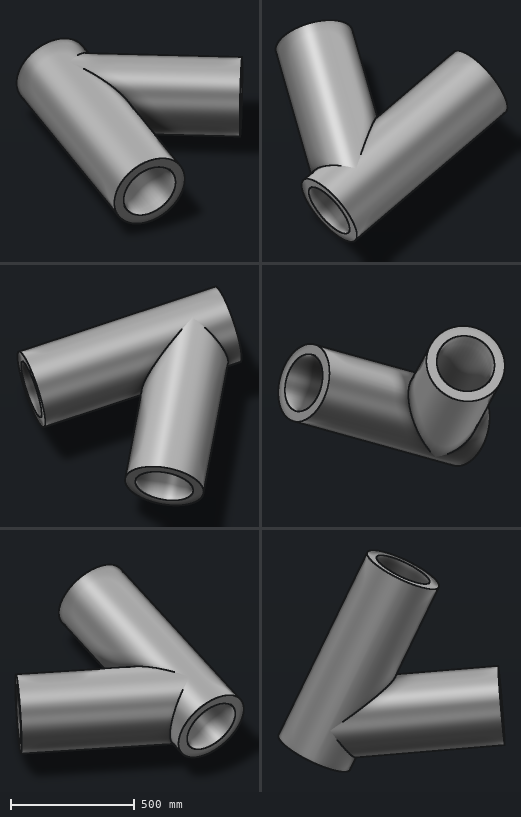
import cadquery as cq
import math

outer_diameter = 324.0
bore_diameter = 238.0
run_length = 851.0
run_start_to_crossing = 152.0
branch_length = 698.0
branch_angle = 60.0

run_start = cq.Vector(-run_start_to_crossing, 0, 0)
run_direction = cq.Vector(1, 0, 0)
crossing = cq.Vector(0, 0, 0)
branch_direction = cq.Vector(
    math.cos(math.radians(branch_angle)),
    math.sin(math.radians(branch_angle)),
    0,
)


def run_and_branch(diameter):
    """Join the run and branch cylinders, both of the given diameter."""
    radius = diameter / 2
    run = cq.Solid.makeCylinder(radius, run_length, run_start, run_direction)
    branch = cq.Solid.makeCylinder(radius, branch_length, crossing, branch_direction)
    return cq.Workplane(obj=run).union(cq.Workplane(obj=branch))


outer_body = run_and_branch(outer_diameter)
bores = run_and_branch(bore_diameter)
result = outer_body.cut(bores)